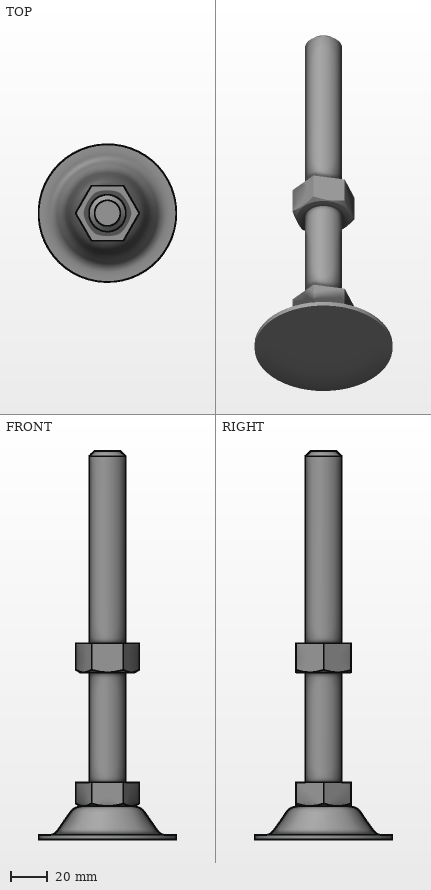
import cadquery as cq
import math

total_height = 211.0

flange_diameter = 75.0
flange_thickness = 2.5
foot_height = 18.0
cone_angle = 55.0
cone_foot_radius = 31.7
lower_fillet_radius = 5.5
shoulder_radius = 7.0

spindle_diameter = 20.0
spindle_tip_diameter = 14.0
spindle_tip_height = 3.0
spindle_hex_height = 13.0

hex_sides = 6
across_flats = 30.0
hex_bottom_diameter = 29.0
hex_chamfer_angle = 30.0
nut_height = 16.0
nut_bottom = 90.5


def arc_offset(radius, turn):
    """Run and rise along an arc that starts horizontal and has turned by the given angle."""
    return radius * math.sin(turn), radius * (1 - math.cos(turn))


def revolve_profile(profile):
    """Close a (radius, height) outline and revolve it fully about the Z axis."""
    axis_start = (0, 0)
    axis_end = (0, 1)
    return profile.close().revolve(360, axis_start, axis_end)


def make_foot():
    """Revolve the foot profile, drawn as (radius, height), about the Z axis."""
    flange_radius = flange_diameter / 2
    slope = math.radians(cone_angle)

    lower_run, lower_rise = arc_offset(lower_fillet_radius, slope)
    lower_mid_run, lower_mid_rise = arc_offset(lower_fillet_radius, slope / 2)
    cone_bottom = (cone_foot_radius - lower_run, flange_thickness + lower_rise)
    lower_mid = (cone_foot_radius - lower_mid_run, flange_thickness + lower_mid_rise)

    upper_run, upper_drop = arc_offset(shoulder_radius, slope)
    upper_mid_run, upper_mid_drop = arc_offset(shoulder_radius, slope / 2)
    cone_top_height = foot_height - upper_drop
    cone_top_radius = cone_bottom[0] - (cone_top_height - cone_bottom[1]) / math.tan(slope)
    top_flat_radius = cone_top_radius - upper_run
    upper_mid = (top_flat_radius + upper_mid_run, foot_height - upper_mid_drop)

    profile = (
        cq.Workplane("XZ")
        .moveTo(0, 0)
        .lineTo(flange_radius, 0)
        .lineTo(flange_radius, flange_thickness)
        .lineTo(cone_foot_radius, flange_thickness)
        .threePointArc(lower_mid, cone_bottom)
        .lineTo(cone_top_radius, cone_top_height)
        .threePointArc(upper_mid, (top_flat_radius, foot_height))
        .lineTo(0, foot_height)
    )
    return revolve_profile(profile)


def make_hexagon(bottom, height):
    """Hexagonal prism with corners on X and a conical chamfer on its lower corners."""
    across_corners = across_flats / math.cos(math.pi / hex_sides)
    prism = cq.Workplane("XY").workplane(offset=bottom).polygon(hex_sides, across_corners).extrude(height)

    bottom_radius = hex_bottom_diameter / 2
    top_radius = bottom_radius + height / math.tan(math.radians(hex_chamfer_angle))
    chamfer_profile = cq.Workplane("XZ").polyline([
        (0, bottom),
        (bottom_radius, bottom),
        (top_radius, bottom + height),
        (0, bottom + height),
    ])
    return prism.intersect(revolve_profile(chamfer_profile))


def make_spindle():
    """Hexagon resting on the foot, with the rod above it tapering at the tip."""
    rod_radius = spindle_diameter / 2
    tip_radius = spindle_tip_diameter / 2
    taper_start = total_height - spindle_tip_height
    rod_profile = cq.Workplane("XZ").polyline([
        (0, foot_height),
        (rod_radius, foot_height),
        (rod_radius, taper_start),
        (tip_radius, total_height),
        (0, total_height),
    ])
    rod = revolve_profile(rod_profile)
    return make_hexagon(foot_height, spindle_hex_height).union(rod)


def make_lock_nut():
    """Hexagon nut whose bore fits the spindle rod."""
    bore = cq.Workplane("XY").workplane(offset=nut_bottom).circle(spindle_diameter / 2).extrude(nut_height)
    return make_hexagon(nut_bottom, nut_height).cut(bore)


foot = make_foot()
spindle = make_spindle()
lock_nut = make_lock_nut()

result = cq.Compound.makeCompound([foot.val(), spindle.val(), lock_nut.val()])